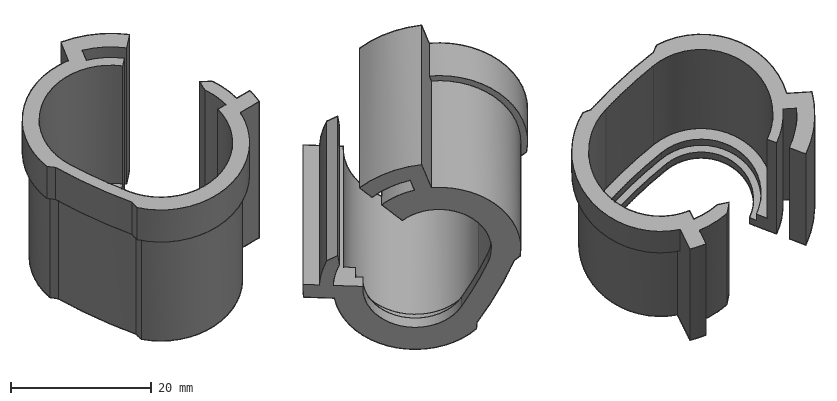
import cadquery as cq
import math

height = 30.0
collar_height = 7.05
lip_height = 2.0
ledge_height = 4.0

end_offset = 4.15
collar_radius = 12.67
body_radius = 11.7
socket_radius = 10.25
middle_radius = 8.55
lip_radius = 7.48
collar_step = collar_radius - body_radius

bulge_center_y = 62.35
bulge_extra = math.hypot(end_offset, bulge_center_y)
flat_recess = 0.8
collar_corner_angle = 15.3
body_corner_angle = 17.2
corner_width = 1.15

mouth_angle = 68.5
latch_slot_radius = 13.68
hook_radius = 16.25
tab_radius = 16.05
rib_width = 2.45
web_angle = 138.4
tongue_end_angle = 88.5
tongue_tip_angle = 95.2

LEFT = -1
RIGHT = 1


def polar(side, radius, angle):
    """Point about the left or right end centre."""
    a = math.radians(angle)
    return (side * end_offset + radius * math.cos(a), radius * math.sin(a))


def bulge_point(radius, x):
    return (x, bulge_center_y - math.sqrt(radius ** 2 - x ** 2))


def mirrored(point):
    return (-point[0], point[1])


def shell(outer_radius, corner_angle, inner_radius, left_angle, right_angle, bottom, top):
    """C-shaped wall running from left_angle round the bottom to right_angle."""
    corner = polar(RIGHT, outer_radius, corner_angle - 90)
    outer_bulge = outer_radius + bulge_extra - flat_recess
    facet = bulge_point(outer_bulge, corner[0] - corner_width)

    inner_bulge = inner_radius + bulge_extra
    tangent = bulge_point(inner_bulge, end_offset * inner_bulge / bulge_extra)

    profile = (
        cq.Workplane("XY").workplane(offset=bottom)
        .moveTo(*polar(LEFT, outer_radius, left_angle))
        .threePointArc(polar(LEFT, outer_radius, 180), mirrored(corner))
        .lineTo(*mirrored(facet))
        .threePointArc(bulge_point(outer_bulge, 0), facet)
        .lineTo(*corner)
        .threePointArc(polar(RIGHT, outer_radius, 0), polar(RIGHT, outer_radius, right_angle))
        .lineTo(*polar(RIGHT, inner_radius, right_angle))
        .threePointArc(polar(RIGHT, inner_radius, 0), tangent)
        .threePointArc(bulge_point(inner_bulge, 0), mirrored(tangent))
        .threePointArc(polar(LEFT, inner_radius, 180), polar(LEFT, inner_radius, left_angle))
        .close()
    )
    return profile.extrude(top - bottom)


def rib(side, angle, inner_radius, outer_radius, turn):
    """Full-height rib: one face radial at angle, the other parallel to it, rounded outer end.

    turn is +1 when the rib lies counterclockwise of its radial face, else -1.
    """
    def parallel_angle(radius):
        return angle + turn * math.degrees(math.asin(rib_width / radius))

    outer_end = parallel_angle(outer_radius)
    profile = (
        cq.Workplane("XY")
        .moveTo(*polar(side, inner_radius, angle))
        .lineTo(*polar(side, outer_radius, angle))
        .threePointArc(polar(side, outer_radius, (angle + outer_end) / 2),
                       polar(side, outer_radius, outer_end))
        .lineTo(*polar(side, inner_radius, parallel_angle(inner_radius)))
        .close()
    )
    return profile.extrude(height)


def hook():
    """Curved arm over the left side of the mouth, leaving a slot for the tongue."""
    start = 180 - mouth_angle
    middle = (start + web_angle) / 2
    end = web_angle + math.degrees(math.asin(rib_width / hook_radius)) / 2
    profile = (
        cq.Workplane("XY")
        .moveTo(*polar(LEFT, latch_slot_radius, start))
        .lineTo(*polar(LEFT, hook_radius, start))
        .threePointArc(polar(LEFT, hook_radius, middle), polar(LEFT, hook_radius, end))
        .lineTo(*polar(LEFT, latch_slot_radius, end))
        .threePointArc(polar(LEFT, latch_slot_radius, middle), polar(LEFT, latch_slot_radius, start))
        .close()
    )
    return profile.extrude(height)


def tongue():
    """Pointed arm reaching from the right side of the mouth towards the hook slot."""
    root = mouth_angle - math.degrees(math.asin(rib_width / tab_radius)) / 2
    middle = (root + tongue_end_angle) / 2
    tip_radius = (body_radius + latch_slot_radius) / 2
    inner = body_radius
    outer = latch_slot_radius
    profile = (
        cq.Workplane("XY")
        .moveTo(*polar(RIGHT, inner, root))
        .lineTo(*polar(RIGHT, outer, root))
        .threePointArc(polar(RIGHT, outer, middle), polar(RIGHT, outer, tongue_end_angle))
        .lineTo(*polar(RIGHT, tip_radius, tongue_tip_angle))
        .lineTo(*polar(RIGHT, inner, tongue_end_angle))
        .threePointArc(polar(RIGHT, inner, middle), polar(RIGHT, inner, root))
        .close()
    )
    return profile.extrude(height)


def body():
    """Wall with a bore that narrows in two ledges near the bottom."""
    left = 180 - mouth_angle
    wall = shell(body_radius, body_corner_angle, socket_radius, left, mouth_angle, 0, height)
    ledge = shell(body_radius, body_corner_angle, middle_radius, left, mouth_angle, 0, ledge_height)
    lip = shell(body_radius, body_corner_angle, lip_radius, left, mouth_angle, 0, lip_height)
    return wall.union(ledge).union(lip)


def collar():
    """Thicker top band, running from inside the web to inside the tab."""
    half_rib_angle = math.degrees(math.asin(rib_width / collar_radius)) / 2
    return shell(collar_radius, collar_corner_angle, socket_radius, web_angle + half_rib_angle,
                 mouth_angle - half_rib_angle, height - collar_height, height)


rib_root = body_radius - collar_step
web = rib(LEFT, web_angle, rib_root, hook_radius, 1)
tab = rib(RIGHT, mouth_angle, rib_root, tab_radius, -1)

result = body().union(collar()).union(web).union(tab).union(hook()).union(tongue())